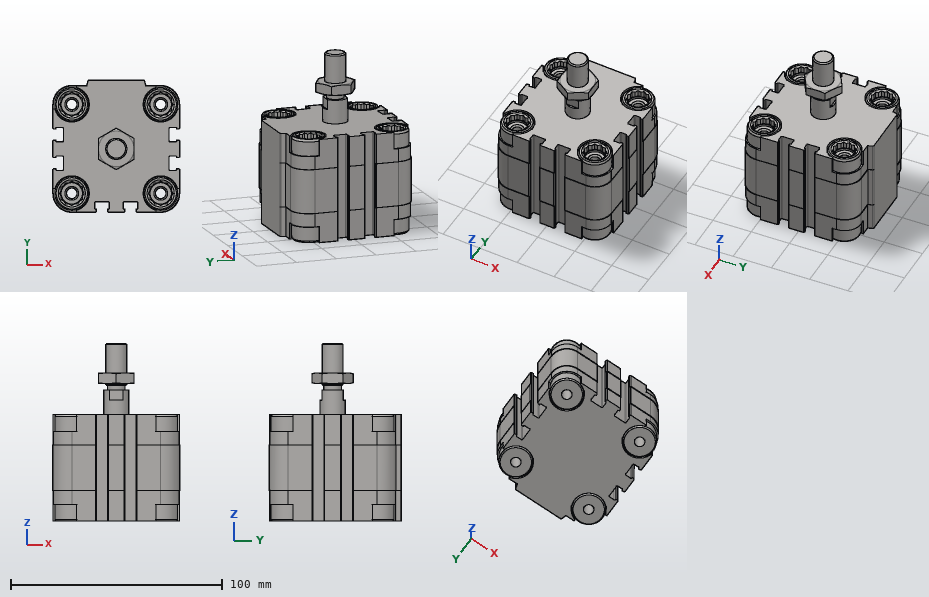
import cadquery as cq
import math

half_width = 30.0
housing_height = 50.5
joint_low = 14.5
joint_high = 36.0
corner_pitch = 21.0
corner_radius = half_width - corner_pitch
end_inset = 0.25
flank_inset = 0.1

rib_top = 32.5
rib_half_base = 14.0
rib_half_top = 13.3
rib_top_fillet = 0.6

slot_offset = 6.75
slot_depth = 5.0
slot_width = 6.7
slot_mouth = 5.25
lip_thickness = 1.5
lip_chamfer = 0.4
slot_fillet = 0.4

boss_radius = 8.0
boss_gap = 0.3
boss_bevel_width = 0.6
bevel_height_top = 1.15
bevel_height_bottom = 0.85
relief_overlap = 2.25
relief_depth_top = 8.1
relief_depth_bottom = 7.8

socket_flats = 10.0
socket_depth = 3.7
socket_mouth_radius = 6.4
lead_in_angle = 30.0
socket_bore_radius = 5.05
socket_bore_depth = 4.8
hole_radius = 4.92 / 2
countersink_radius = 3.25

rod_radius = 6.0
rod_bottom = joint_high
rod_shoulder = 62.0
rod_top = 84.0
rod_flats = 10.1
rod_flats_bottom = 57.2
neck_radius = 8.47 / 2
thread_radius = 5.0
thread_start = 64.0
thread_chamfer = 0.65
nut_flats = 17.0
nut_bottom = 65.0
nut_height = 5.0
nut_face_radius = 8.4
nut_chamfer_height = 0.4

corners = [(sx * corner_pitch, sy * corner_pitch) for sx in (-1, 1) for sy in (-1, 1)]


def hexagon_diameter(flats):
    """Circumscribed diameter of a hexagon with the given width across flats."""
    return flats / math.cos(math.pi / 6)


def disc(radius, bottom, top):
    """Upright cylinder on the Z axis."""
    return cq.Workplane("XY").workplane(offset=bottom).circle(radius).extrude(top - bottom)


def cone(bottom_radius, top_radius, bottom, top):
    """Upright truncated cone on the Z axis."""
    profile = [(0, bottom), (bottom_radius, bottom), (top_radius, top), (0, top)]
    return cq.Workplane("XZ").polyline(profile).close().revolve(360, (0, 0), (0, 1))


def upright_box(half_x, half_y, bottom, top):
    """Box centred on the Z axis."""
    return cq.Workplane("XY").box(2 * half_x, 2 * half_y, top - bottom).translate((0, 0, (bottom + top) / 2))


def rib(bottom, top, side_inset):
    """Tapered rib on the +Y side, its root buried in the housing section."""
    half_base = rib_half_base - side_inset
    half_top = rib_half_top - side_inset
    outline = [
        (-half_base, corner_pitch),
        (half_base, corner_pitch),
        (half_base, half_width),
        (half_top, rib_top),
        (-half_top, rib_top),
        (-half_base, half_width),
    ]
    body = cq.Workplane("XY").workplane(offset=bottom).polyline(outline).close().extrude(top - bottom)
    return body.edges("|Z and >Y").fillet(rib_top_fillet)


def t_slot(face, bottom, top):
    """Cutter for a T-slot centred on X = 0 that opens through the side face at Y = -face."""
    floor_y = slot_depth - half_width
    lip_y = lip_thickness - half_width
    outside_y = -half_width - 1
    flare = slot_mouth / 2 + lip_chamfer
    channel = (
        cq.Workplane("XY")
        .rect(slot_width, lip_y - floor_y)
        .extrude(top - bottom)
        .edges("|Z")
        .fillet(slot_fillet)
        .translate((0, (floor_y + lip_y) / 2, bottom))
    )
    mouth = (
        cq.Workplane("XY")
        .workplane(offset=bottom)
        .moveTo(slot_mouth / 2, (floor_y + lip_y) / 2)
        .lineTo(slot_mouth / 2, lip_chamfer - face)
        .lineTo(flare, -face)
        .lineTo(flare, outside_y)
        .lineTo(-flare, outside_y)
        .lineTo(-flare, -face)
        .lineTo(-slot_mouth / 2, lip_chamfer - face)
        .lineTo(-slot_mouth / 2, (floor_y + lip_y) / 2)
        .close()
        .extrude(top - bottom)
    )
    return channel.union(mouth)


def cut_slots(section, face_x, face_y, bottom, top):
    """Cut a pair of T-slots into the -Y, -X and +X sides of a housing section."""
    for turn, face in ((0, face_y), (90, face_x), (-90, face_x)):
        slot = t_slot(face, bottom, top)
        for side in (-1, 1):
            cutter = slot.translate((side * slot_offset, 0, 0)).rotate((0, 0, 0), (0, 0, 1), turn)
            section = section.cut(cutter)
    return section


def barrel_section():
    """Middle of the housing, with the full outline."""
    block = upright_box(half_width, half_width, joint_low, joint_high).edges("|Z").fillet(corner_radius)
    section = block.union(rib(joint_low, joint_high, 0))
    return cut_slots(section, half_width, half_width, joint_low, joint_high)


def end_section(bottom, top):
    """End of the housing, set back slightly from the barrel on its corners and sides."""
    face_y = half_width - end_inset
    face_x = half_width - flank_inset
    section = upright_box(face_y, face_y, bottom, top).edges("|Z").fillet(face_y - corner_pitch)
    section = section.union(upright_box(face_x, corner_pitch, bottom, top))
    section = section.union(rib(bottom, top, flank_inset))
    return cut_slots(section, face_x, face_y, bottom, top)


def boss_relief(x, y, bottom, top):
    """Cutter that steps a housing corner back to its round boss and leaves a thin gap around the boss."""
    size = corner_radius + relief_overlap
    shift = corner_pitch - relief_overlap + size / 2
    corner = upright_box(size / 2, size / 2, bottom, top).translate(
        (math.copysign(shift, x), math.copysign(shift, y), 0)
    )
    pocket = disc(boss_radius + boss_gap, bottom, top).translate((x, y, 0))
    return corner.union(pocket).cut(disc(boss_radius, bottom, top).translate((x, y, 0)))


def boss_bevel(height, end, direction):
    """Cutter for the bevel at the end of a boss; direction is +1 at the top and -1 at the bottom."""
    profile = [
        (boss_radius - boss_bevel_width, end),
        (boss_radius, end),
        (boss_radius, end - direction * height),
    ]
    return cq.Workplane("XZ").polyline(profile).close().revolve(360, (0, 0), (0, 1))


def socket():
    """Cutter for a double-hexagon socket with its lead-in, bore and countersink."""
    top = housing_height
    floor = top - socket_bore_depth
    sink_depth = countersink_radius - hole_radius
    lead_in = (socket_mouth_radius - socket_flats / 2) * math.tan(math.radians(lead_in_angle))
    cutter = disc(socket_bore_radius, floor, top)
    cutter = cutter.union(cone(hole_radius, countersink_radius, floor - sink_depth, floor))
    hexagon = (
        cq.Workplane("XY")
        .workplane(offset=top - socket_depth)
        .polygon(6, hexagon_diameter(socket_flats))
        .extrude(socket_depth)
    )
    for turn in (0, 30):
        cutter = cutter.union(hexagon.rotate((0, 0, 0), (0, 0, 1), turn))
    return cutter.union(cone(socket_flats / 2, socket_mouth_radius, top - lead_in, top))


def make_housing():
    """Barrel and both ends in one piece, with corner bosses, sockets and the rod bore."""
    top = housing_height
    housing = barrel_section().union(end_section(0, joint_low)).union(end_section(joint_high, top))
    hole = disc(hole_radius, 0, top)
    low_bevel = boss_bevel(bevel_height_bottom, 0, -1)
    high_bevel = boss_bevel(bevel_height_top, top, 1)
    screw_socket = socket()
    for x, y in corners:
        housing = housing.cut(boss_relief(x, y, 0, relief_depth_bottom))
        housing = housing.cut(boss_relief(x, y, top - relief_depth_top, top))
        for cutter in (low_bevel, high_bevel, screw_socket, hole):
            housing = housing.cut(cutter.translate((x, y, 0)))
    return housing.cut(disc(rod_radius, rod_bottom, top))


def make_rod():
    shank = disc(rod_radius, rod_bottom, rod_shoulder)
    middle = upright_box(rod_radius, rod_flats / 2, rod_flats_bottom, rod_shoulder)
    shank = shank.cut(disc(2 * rod_radius, rod_flats_bottom, rod_shoulder).cut(middle))
    neck = disc(neck_radius, rod_shoulder, thread_start)
    thread = disc(thread_radius, thread_start, rod_top).faces("<Z or >Z").chamfer(thread_chamfer)
    return shank.union(neck).union(thread)


def make_nut():
    nut = (
        cq.Workplane("XY")
        .workplane(offset=nut_bottom)
        .polygon(6, hexagon_diameter(nut_flats))
        .extrude(nut_height)
        .rotate((0, 0, 0), (0, 0, 1), 30)
    )
    tip = hexagon_diameter(nut_flats) / 2
    top = nut_bottom + nut_height
    low = cone(nut_face_radius, tip, nut_bottom, nut_bottom + nut_chamfer_height)
    mid = disc(tip, nut_bottom + nut_chamfer_height, top - nut_chamfer_height)
    high = cone(tip, nut_face_radius, top - nut_chamfer_height, top)
    return nut.intersect(low.union(mid).union(high)).cut(disc(thread_radius, nut_bottom, top))


housing = make_housing()
piston_rod = make_rod()
nut = make_nut()

result = cq.Compound.makeCompound([housing.val(), piston_rod.val(), nut.val()])